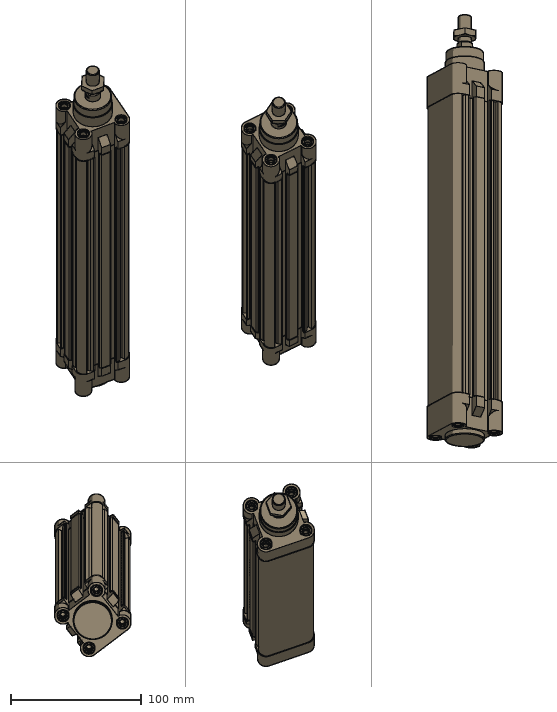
import cadquery as cq
import math

TOTAL_HEIGHT = 346.0
CAP_WIDTH = 45.5
CAP_HEIGHT = 25.0
BARREL_WIDTH = 44.5
CORNER_RADIUS = 6.5
PANEL_OFFSET = 17.0

BOSS_HEIGHT = 4.0
BOSS_DIAMETER = 30.0
BOSS_CHAMFER = 0.7
COLLAR_DIAMETER = 30.0
COLLAR_HEIGHT = 10.7
NECK_DIAMETER = 29.0
NECK_HEIGHT = 8.0
NECK_TOP_Z = 316.5
NECK_CHAMFER = 0.7

RAMP_DROP = 10.5
RIB_HALF_WIDTH = 3.8
RECESS_HALF_WIDTH = 10.0

ROD_DIAMETER = 12.0
THREAD_DIAMETER = 10.0
SHOULDER_Z = 324.2
SHOULDER_CHAMFER = (ROD_DIAMETER - THREAD_DIAMETER) / 2
ROD_TIP_CHAMFER = 0.7
FLAT_BOTTOM_Z = 319.7
FLAT_WIDTH = 10.0

NUT_ACROSS_FLATS = 17.0
NUT_THICKNESS = 5.2
NUT_BOTTOM_Z = 328.0
NUT_CHAMFER_ANGLE = 30

SLOT_FLOOR = 17.3
SLOT_LIP_DEPTH = 2.0
RAIL_HALF_WIDTH = 3.8
RAIL_FLANGE_HALF_WIDTH = 5.0
RAIL_BEVEL = 1.0
SLOT_OUTER = 10.0
LIP_START = 9.5
LIP_CREST = 10.5
LIP_END = 12.8
LIP_FALL = 1.0
GROOVE_END = 16.3
GROOVE_DEPTH = 2.8
GROOVE_WALL_RUN = 1.0

SCREW_OFFSET = CAP_WIDTH / 2 - CORNER_RADIUS
SCREW_RECESS_DIAMETER = 9.5
SCREW_RECESS_DEPTH = 2.0
SCREW_HEAD_DIAMETER = 8.5
SCREW_HEAD_HEIGHT = 1.5
SCREW_HEAD_CHAMFER = 0.5
SOCKET_MOUTH_DIAMETER = 6.0
SOCKET_DIAMETER = 5.0
SOCKET_DEPTH = 4.0
PILOT_DIAMETER = 4.0
PILOT_DEPTH = 7.0

BARREL_Z = BOSS_HEIGHT + CAP_HEIGHT
CAP_TOP_Z = NECK_TOP_Z - NECK_HEIGHT - COLLAR_HEIGHT
UPPER_CAP_Z = CAP_TOP_Z - CAP_HEIGHT
BARREL_LENGTH = UPPER_CAP_Z - BARREL_Z
ROD_BOTTOM_Z = UPPER_CAP_Z

SLOTTED_SIDES = (-90, 0, 90)
CORNERS = [(sx * SCREW_OFFSET, sy * SCREW_OFFSET) for sx in (-1, 1) for sy in (-1, 1)]


def cylinder(diameter, height, z):
    return cq.Workplane("XY").workplane(offset=z).circle(diameter / 2).extrude(height)


def rounded_square(width, height):
    return cq.Workplane("XY").rect(width, width).extrude(height).edges("|Z").fillet(CORNER_RADIUS)


def turned(body, angle):
    return body.rotate((0, 0, 0), (0, 0, 1), angle)


def slot_cutter(side):
    """T-shaped sensor slot and relief groove on one half of the -Y side."""
    face = BARREL_WIDTH / 2
    outside = CAP_WIDTH
    flange_inner = face - SLOT_LIP_DEPTH
    groove_floor = face - GROOVE_DEPTH
    outline = [
        (RAIL_FLANGE_HALF_WIDTH - RAIL_BEVEL, outside),
        (RAIL_FLANGE_HALF_WIDTH - RAIL_BEVEL, face),
        (RAIL_FLANGE_HALF_WIDTH, face - RAIL_BEVEL),
        (RAIL_FLANGE_HALF_WIDTH, flange_inner),
        (RAIL_HALF_WIDTH, flange_inner),
        (RAIL_HALF_WIDTH, SLOT_FLOOR),
        (SLOT_OUTER, SLOT_FLOOR),
        (SLOT_OUTER, flange_inner),
        (LIP_START, flange_inner),
        (LIP_START, face),
        (LIP_CREST, face),
        (LIP_END, face - LIP_FALL),
        (LIP_END + GROOVE_WALL_RUN, groove_floor),
        (GROOVE_END - GROOVE_WALL_RUN, groove_floor),
        (GROOVE_END, face),
        (GROOVE_END, outside),
    ]
    points = [(side * u, -v) for u, v in outline]
    return cq.Workplane("XY").polyline(points).close().extrude(BARREL_LENGTH)


def make_barrel():
    barrel = rounded_square(BARREL_WIDTH, BARREL_LENGTH)
    for angle in SLOTTED_SIDES:
        for side in (-1, 1):
            barrel = barrel.cut(turned(slot_cutter(side), angle))
    return barrel.translate((0, 0, BARREL_Z))


def ramped_rib(u_start, u_end):
    """Rib on the -Y panel with a 45 degree ramp, rooted inside the cap core."""
    inner = PANEL_OFFSET - CORNER_RADIUS
    outer = CAP_WIDTH / 2
    ramp_top = CAP_HEIGHT - RAMP_DROP
    ramp_bottom = ramp_top - (outer - PANEL_OFFSET)
    outline = [
        (-inner, 0),
        (-outer, 0),
        (-outer, ramp_bottom),
        (-PANEL_OFFSET, ramp_top),
        (-inner, ramp_top),
    ]
    rib = cq.Workplane("YZ").polyline(outline).close().extrude(u_end - u_start)
    return rib.translate((u_start, 0, 0))


def socket_cutter(head_top):
    """Countersunk socket that steps down to a pilot hole with a conical point."""
    mouth_radius = SOCKET_MOUTH_DIAMETER / 2
    socket_radius = SOCKET_DIAMETER / 2
    pilot_radius = PILOT_DIAMETER / 2
    socket_bottom = head_top - SOCKET_DEPTH
    pilot_bottom = head_top - PILOT_DEPTH
    profile = [
        (0, head_top),
        (mouth_radius, head_top),
        (socket_radius, head_top - (mouth_radius - socket_radius)),
        (socket_radius, socket_bottom),
        (pilot_radius, socket_bottom),
        (pilot_radius, pilot_bottom),
        (0, pilot_bottom - pilot_radius),
    ]
    return cq.Workplane("XZ").polyline(profile).close().revolve(360, (0, 0, 0), (0, 1, 0))


def cut_screws(cap):
    """Recessed screw heads with stepped sockets in the four corner posts."""
    recess_z = CAP_HEIGHT - SCREW_RECESS_DEPTH
    head_top = recess_z + SCREW_HEAD_HEIGHT
    recess = cylinder(SCREW_RECESS_DIAMETER, SCREW_RECESS_DEPTH, recess_z)
    head = cylinder(SCREW_HEAD_DIAMETER, SCREW_HEAD_HEIGHT, recess_z)
    head = head.faces(">Z").chamfer(SCREW_HEAD_CHAMFER)
    socket = socket_cutter(head_top)
    for x, y in CORNERS:
        cap = cap.cut(recess.translate((x, y, 0)))
        cap = cap.union(head.translate((x, y, 0)))
        cap = cap.cut(socket.translate((x, y, 0)))
    return cap


def make_cap():
    half = CAP_WIDTH / 2
    rib_spans = [
        (-SCREW_OFFSET, -RECESS_HALF_WIDTH),
        (-RIB_HALF_WIDTH, RIB_HALF_WIDTH),
        (RECESS_HALF_WIDTH, SCREW_OFFSET),
    ]
    panel_width = 2 * PANEL_OFFSET
    cap = cq.Workplane("XY").rect(panel_width, panel_width).extrude(CAP_HEIGHT)
    posts = cq.Workplane("XY").pushPoints(CORNERS).circle(CORNER_RADIUS).extrude(CAP_HEIGHT)
    back_plate = cq.Workplane("XY").box(2 * SCREW_OFFSET, half, CAP_HEIGHT, centered=(True, False, False))
    cap = cap.union(posts).union(back_plate)
    recess = cq.Workplane("XY").box(2 * RECESS_HALF_WIDTH, half, CAP_HEIGHT, centered=(True, False, False))
    recess = recess.translate((0, -PANEL_OFFSET - half, 0))
    for angle in SLOTTED_SIDES:
        cap = cap.cut(turned(recess, angle))
        for u_start, u_end in rib_spans:
            cap = cap.union(turned(ramped_rib(u_start, u_end), angle))
    return cut_screws(cap)


def make_housing(rod):
    cap = make_cap()
    upper_cap = cap.translate((0, 0, UPPER_CAP_Z))
    lower_cap = cap.mirror("XY").translate((0, 0, BARREL_Z))
    boss = cylinder(BOSS_DIAMETER, BOSS_HEIGHT, 0).faces("<Z").chamfer(BOSS_CHAMFER)
    collar = cylinder(COLLAR_DIAMETER, COLLAR_HEIGHT, CAP_TOP_Z)
    collar = collar.faces(">Z").chamfer((COLLAR_DIAMETER - NECK_DIAMETER) / 2)
    neck = cylinder(NECK_DIAMETER, NECK_HEIGHT, CAP_TOP_Z + COLLAR_HEIGHT)
    neck = neck.faces(">Z").chamfer(NECK_CHAMFER)
    housing = make_barrel()
    for piece in (lower_cap, upper_cap, boss, collar, neck):
        housing = housing.union(piece)
    return housing.cut(rod)


def make_rod():
    shank = cylinder(ROD_DIAMETER, SHOULDER_Z - ROD_BOTTOM_Z, ROD_BOTTOM_Z)
    shank = shank.faces(">Z").chamfer(SHOULDER_CHAMFER)
    thread = cylinder(THREAD_DIAMETER, TOTAL_HEIGHT - SHOULDER_Z, SHOULDER_Z)
    thread = thread.faces(">Z").chamfer(ROD_TIP_CHAMFER)
    rod = shank.union(thread)
    flat_height = SHOULDER_Z - FLAT_BOTTOM_Z
    flat = cq.Workplane("XY").box(ROD_DIAMETER, ROD_DIAMETER, flat_height, centered=(True, True, False))
    for side in (-1, 1):
        rod = rod.cut(flat.translate((0, side * (FLAT_WIDTH + ROD_DIAMETER) / 2, FLAT_BOTTOM_Z)))
    return rod


def make_nut():
    """Hexagon nut with corners toward +Y and -Y, chamfered on its lower face."""
    across_corners = NUT_ACROSS_FLATS / math.cos(math.pi / 6)
    hexagon = cq.Workplane("XY").polygon(6, across_corners)
    nut = hexagon.circle(THREAD_DIAMETER / 2).extrude(NUT_THICKNESS)
    flat_radius = NUT_ACROSS_FLATS / 2
    corner_radius = across_corners / 2
    fall = (corner_radius - flat_radius) * math.tan(math.radians(NUT_CHAMFER_ANGLE))
    profile = [
        (0, 0),
        (flat_radius, 0),
        (corner_radius, fall),
        (corner_radius, NUT_THICKNESS),
        (0, NUT_THICKNESS),
    ]
    chamfered_blank = cq.Workplane("XZ").polyline(profile).close().revolve(360, (0, 0, 0), (0, 1, 0))
    nut = nut.intersect(chamfered_blank)
    return turned(nut, 90).translate((0, 0, NUT_BOTTOM_Z))


rod = make_rod()
nut = make_nut()
housing = make_housing(rod)

result = cq.Compound.makeCompound([housing.val(), rod.val(), nut.val()])